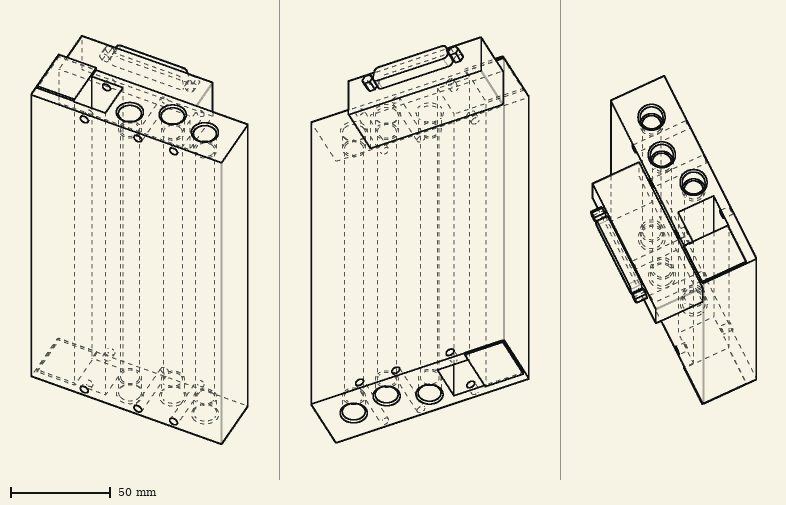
import cadquery as cq
import math

block_width = 106.7
block_depth = 29.9
pad_height = 1.5
overall_height = 206.0
block_height = overall_height - 2 * pad_height
block_edge_radius = 0.5

pad_side_inset = 0.6
pad_front = 5.5
pad_back = 30.0
channel_left = 21.6
channel_right = 39.1
channel_front = 5.2
channel_back = 25.0

port_pitch = 20.0
first_port_x = 49.9
port_fronts = [11.1, 19.2, 15.2]
mouth_diameter = 13.5
bore_diameter = 11.5
passage_diameter = 9.5
bore_depth = 12.4

pin_diameter = 4.3
pin_end_distance = 4.1
pin_xs = [
    first_port_x - port_pitch,
    first_port_x + port_pitch / 2,
    first_port_x + 3 * port_pitch / 2,
]

housing_left = 0.6
housing_width = 73.3
housing_depth = 26.0
housing_height = 24.3
housing_top = block_height - 8.9
housing_edge_radius = 0.5

connector_depth = 6.0
connector_x = 37.0
shell_width = 42.2
shell_height = 9.5
shell_slant = math.radians(10)
shell_corner_radius = 2.5
shell_top = housing_top - 4.0
post_spacing = 47.4
post_corner_diameter = 5.8
post_z = shell_top - 6.0

housing_back = block_depth + housing_depth


def box(left, front, bottom, width, depth, height):
    """Axis-aligned box placed by its lowest corner."""
    return cq.Workplane("XY").box(width, depth, height, centered=False).translate((left, front, bottom))


def make_block():
    block = box(0, 0, 0, block_width, block_depth, block_height)
    return block.edges("|Z").fillet(block_edge_radius)


def make_pad(bottom):
    return box(
        pad_side_inset,
        pad_front,
        bottom,
        channel_left - pad_side_inset,
        pad_back - pad_front,
        pad_height,
    )


def make_channel():
    return box(
        channel_left,
        channel_front,
        0,
        channel_right - channel_left,
        channel_back - channel_front,
        block_height,
    )


def make_port(x, y):
    """Revolved cutter for one port running through the full block height."""
    mouth = mouth_diameter / 2
    bore = bore_diameter / 2
    passage = passage_diameter / 2
    chamfer = mouth - bore
    profile = (
        cq.Workplane("XZ")
        .moveTo(0, 0)
        .lineTo(mouth, 0)
        .lineTo(bore, chamfer)
        .lineTo(bore, bore_depth)
        .lineTo(passage, bore_depth)
        .lineTo(passage, block_height - bore_depth)
        .lineTo(bore, block_height - bore_depth)
        .lineTo(bore, block_height - chamfer)
        .lineTo(mouth, block_height)
        .lineTo(0, block_height)
        .close()
    )
    return profile.revolve(360, (0, 0, 0), (0, 1, 0)).translate((x, y, 0))


def make_pin_holes():
    heights = [pin_end_distance, block_height - pin_end_distance]
    centres = [(x, z) for x in pin_xs for z in heights]
    return cq.Workplane("XZ").pushPoints(centres).circle(pin_diameter / 2).extrude(-block_depth)


def make_housing():
    housing = box(
        housing_left,
        block_depth,
        housing_top - housing_height,
        housing_width,
        housing_depth,
        housing_height,
    )
    return housing.edges("|Y").fillet(housing_edge_radius)


def make_shell():
    """Rounded trapezium, wide side down, standing on the back of the housing."""
    half_bottom = shell_width / 2
    half_top = half_bottom - shell_height * math.tan(shell_slant)
    bottom = shell_top - shell_height
    outline = [
        (connector_x - half_bottom, bottom),
        (connector_x + half_bottom, bottom),
        (connector_x + half_top, shell_top),
        (connector_x - half_top, shell_top),
    ]
    shell = cq.Workplane("XZ", origin=(0, housing_back, 0)).polyline(outline).close().extrude(-connector_depth)
    return shell.edges("|Y").fillet(shell_corner_radius)


def make_posts():
    centres = [(connector_x + side * post_spacing / 2, post_z) for side in (-1, 1)]
    plane = cq.Workplane("XZ", origin=(0, housing_back, 0))
    return plane.pushPoints(centres).polygon(6, post_corner_diameter).extrude(-connector_depth)


result = make_block()
for pad_bottom in (-pad_height, block_height):
    result = result.union(make_pad(pad_bottom))

result = result.cut(make_channel()).cut(make_pin_holes())
for index, port_front in enumerate(port_fronts):
    result = result.cut(make_port(first_port_x + index * port_pitch, port_front))

result = result.union(make_housing()).union(make_shell()).union(make_posts())